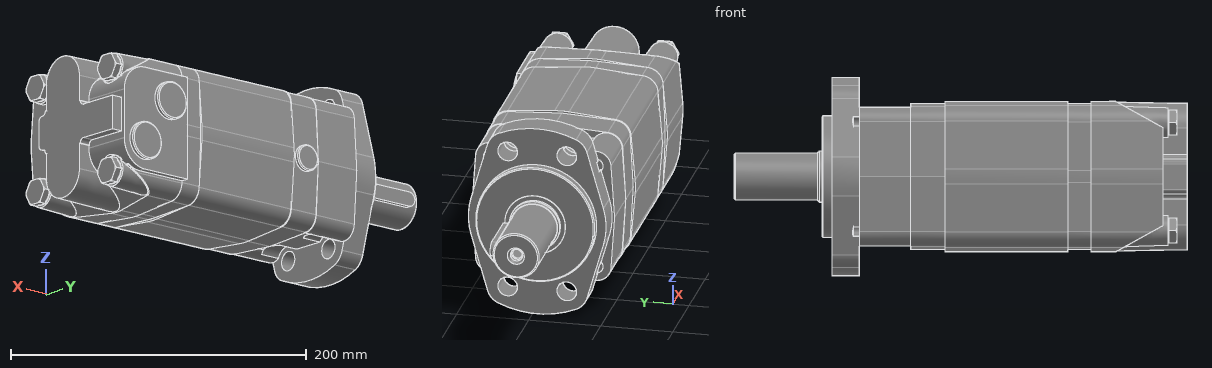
import cadquery as cq
import math


shoulder_x = 56.5
pilot_x = 59.3
flange_x = 66.0
columns_x = 84.7
collar_x = 119.4
gear_x = 142.5
plate_x = 225.8
cover_x = 241.4
cover_back_x = 290.2
bolt_seat_x = 293.5
back_x = 306.6

bolt_offset = 36.5
corner_radius = 11.5
collar_corner_radius = 10.9
column_radius = 10.5
large_half_width = 51.0
small_half_width = 49.5
large_crown_radius = 58.0
plate_crown_radius = 92.0
ridge_radius = 0.0
column_recess_z = 42.5

flange_outer_radius = 67.29
flange_side_radius = 47.8
flange_corner_radius = 13.5
flange_side_angle = math.radians(16)
pilot_diameter = 82.5
pilot_chamfer = 0.8
seal_diameter = 42.0
seal_depth = 0.5
mount_hole_y = 20.5
mount_hole_z = 49.1
mount_hole_diameter = 13.5
spotface_diameter = 21.6
spotface_length = 15.0
spotface_cone_length = 4.0
spotface_tip_radius = 6.0

shaft_diameter = 32.0
shaft_chamfer = 1.0
seal_journal_diameter = 35.0
shoulder_chamfer = 1.2
shaft_inner_x = collar_x
centre_mouth_diameter = 11.8
centre_mouth_depth = 2.0
centre_bore_diameter = 8.38
centre_bore_depth = 5.0
centre_hole_diameter = 6.65
centre_hole_depth = 20.0
centre_tip_length = 2.0
key_width = 10.0
key_length = 45.0
key_height = 8.0
key_start_x = 5.2
key_top_y = 19.0

bolt_diameter = 10.0
tap_hole_diameter = 8.38
tap_hole_depth = 4.0
tap_hole_tip_length = 1.5
hex_across_flats = 16.9
washer_face_diameter = 16.9
washer_face_height = 0.6
hex_height = 5.4
hex_chamfer_length = 0.45

drain_x = 131.0
drain_diameter = 18.0
drain_top_y = 52.4
disc_chamfer = 0.8
port_pad_y = 53.6
port_pad_inner_y = 17.5
port_pad_back_x = 298.5
port_pad_half_height = 35.8
port_pad_corner_radius = 18.7
port_diameter = 26.0
port_top_y = 57.12
port_places = [(257.8, 16.1), (280.4, -16.1)]

roof_start_x = 258.0
roof_angle = math.radians(29)
bolt_boss_diameter = 22.5
bolt_boss_draft = 1.9
spine_half_width = 17.8
spine_half_height = 50.6
spine_start_x = 255.0
spine_draft = 1.0
block_front_y = -24.3
block_back_y = 50.8
block_half_height = 11.8
block_edge_radius = 3.2

bolt_places = [(y, z) for y in (-bolt_offset, bolt_offset) for z in (-bolt_offset, bolt_offset)]
mount_places = [(y, z) for y in (-mount_hole_y, mount_hole_y) for z in (-mount_hole_z, mount_hole_z)]


def plane_at(x):
    """Sketch plane across the shaft: local x is Y, local y is Z, extrusion is toward +X."""
    return cq.Workplane("YZ", origin=(x, 0, 0))


def rods(places, diameter, start_x, end_x):
    return plane_at(start_x).pushPoints(places).circle(diameter / 2).extrude(end_x - start_x)


def turned(points):
    """Solid of revolution about X from (x, radius) points."""
    return cq.Workplane("XY").polyline(points).close().revolve(360, (0, 0, 0), (1, 0, 0))


def rotated(point, angle):
    c, s = math.cos(angle), math.sin(angle)
    return (point[0] * c - point[1] * s, point[0] * s + point[1] * c)


def section(start_x, end_x, half_width, crown_radius, rounding):
    """Body section whose flat sides are tangent to the crown arcs and the corner arcs."""
    crown_centre = half_width - crown_radius
    reach = math.hypot(bolt_offset, bolt_offset - crown_centre)
    bearing = math.atan2(bolt_offset, bolt_offset - crown_centre)
    lean = bearing - math.acos((crown_radius - rounding) / reach)
    crown_end = (crown_centre + crown_radius * math.cos(lean), crown_radius * math.sin(lean))
    corner_start = (bolt_offset + rounding * math.cos(lean), bolt_offset + rounding * math.sin(lean))
    corner_middle = bolt_offset + rounding * math.sqrt(0.5)
    corner_end = (corner_start[1], corner_start[0])
    crown_start = (crown_end[0], -crown_end[1])

    outline = plane_at(start_x).moveTo(*crown_start)
    for quarter in range(4):
        turn = quarter * math.pi / 2
        if crown_radius > 0:
            outline = outline.threePointArc(rotated((half_width, 0), turn), rotated(crown_end, turn))
        outline = outline.lineTo(*rotated(corner_start, turn))
        outline = outline.threePointArc(
            rotated((corner_middle, corner_middle), turn), rotated(corner_end, turn)
        )
        if quarter < 3:
            outline = outline.lineTo(*rotated(crown_start, turn + math.pi / 2))
    return outline.close().extrude(end_x - start_x)


def flange():
    """Oval flange: side arcs, straight flanks, small corner arcs and large end arcs, all tangent."""
    normal = (math.cos(flange_side_angle), math.sin(flange_side_angle))
    inset = flange_side_radius - flange_corner_radius
    corner_distance = flange_outer_radius - flange_corner_radius
    flank = math.sqrt(corner_distance**2 - inset**2)
    centre = (inset * normal[0] - flank * normal[1], inset * normal[1] + flank * normal[0])
    end_angle = math.atan2(centre[1], centre[0])
    middle_angle = (flange_side_angle + end_angle) / 2

    side_end = (flange_side_radius * normal[0], flange_side_radius * normal[1])
    flank_end = (centre[0] + flange_corner_radius * normal[0], centre[1] + flange_corner_radius * normal[1])
    corner_middle = (
        centre[0] + flange_corner_radius * math.cos(middle_angle),
        centre[1] + flange_corner_radius * math.sin(middle_angle),
    )
    corner_end = (flange_outer_radius * math.cos(end_angle), flange_outer_radius * math.sin(end_angle))

    outline = plane_at(flange_x).moveTo(side_end[0], -side_end[1])
    for sign in (1, -1):
        outline = (
            outline.threePointArc((sign * flange_side_radius, 0), (sign * side_end[0], sign * side_end[1]))
            .lineTo(sign * flank_end[0], sign * flank_end[1])
            .threePointArc(
                (sign * corner_middle[0], sign * corner_middle[1]),
                (sign * corner_end[0], sign * corner_end[1]),
            )
            .threePointArc((0, sign * flange_outer_radius), (-sign * corner_end[0], sign * corner_end[1]))
            .threePointArc(
                (-sign * corner_middle[0], sign * corner_middle[1]),
                (-sign * flank_end[0], sign * flank_end[1]),
            )
            .lineTo(-sign * side_end[0], sign * side_end[1])
        )
    return outline.close().extrude(columns_x - flange_x)


def bolt_columns():
    """Front stretch of the housing: a flat-topped core between four round columns."""
    core = section(columns_x, collar_x, small_half_width, ridge_radius, column_radius)
    slab = plane_at(columns_x).rect(2 * small_half_width, 2 * column_recess_z).extrude(collar_x - columns_x)
    columns = rods(bolt_places, 2 * column_radius, columns_x, collar_x)
    return core.intersect(slab).union(columns)


def mount_spotfaces():
    """Clearance behind each mounting hole, ending in a blunt cone."""
    end_x = columns_x + spotface_length
    radius = spotface_diameter / 2
    cutter = turned([
        (columns_x, 0),
        (columns_x, radius),
        (end_x, radius),
        (end_x + spotface_cone_length, spotface_tip_radius),
        (end_x + spotface_cone_length, 0),
    ])
    cutters = cq.Workplane("XY")
    for y, z in mount_places:
        cutters = cutters.add(cutter.translate((0, y, z)))
    return cutters.combine()


def make_shaft():
    shaft = rods([(0, 0)], shaft_diameter, 0, shoulder_x).faces("<X").chamfer(shaft_chamfer)
    journal = rods([(0, 0)], seal_journal_diameter, shoulder_x, shaft_inner_x)
    shaft = shaft.union(journal.faces("<X").chamfer(shoulder_chamfer))
    bore_radius = centre_bore_diameter / 2
    hole_radius = centre_hole_diameter / 2
    centre_hole = turned([
        (0, 0),
        (0, centre_mouth_diameter / 2),
        (centre_mouth_depth, bore_radius),
        (centre_bore_depth, bore_radius),
        (centre_bore_depth, hole_radius),
        (centre_hole_depth, hole_radius),
        (centre_hole_depth + centre_tip_length, 0),
    ])
    return shaft.cut(centre_hole).cut(make_key())


def make_key():
    bottom_y = key_top_y - key_height
    middle_x = key_start_x + key_length / 2
    return (
        cq.Workplane("XZ", origin=(middle_x, bottom_y, 0))
        .slot2D(key_length, key_width)
        .extrude(-key_height)
    )


def make_bolt(y, z):
    hex_x = bolt_seat_x + washer_face_height
    shank = rods([(y, z)], bolt_diameter, columns_x, bolt_seat_x)
    washer_face = rods([(y, z)], washer_face_diameter, bolt_seat_x, hex_x)
    across_corners = hex_across_flats / math.cos(math.pi / 6)
    head = plane_at(hex_x).center(y, z).polygon(6, across_corners).extrude(hex_height)
    chamfer_depth = hex_chamfer_length / math.tan(math.pi / 6)
    rim = rods([(y, z)], across_corners, hex_x, hex_x + hex_height)
    head = head.intersect(rim.faces(">X").chamfer(hex_chamfer_length, chamfer_depth))
    return shank.union(washer_face).union(head)


def tap_holes():
    """Blind holes with conical tips that run forward from the bolt ends into the flange."""
    radius = tap_hole_diameter / 2
    full_end_x = columns_x - tap_hole_depth
    cutter = turned([
        (columns_x, 0),
        (columns_x, radius),
        (full_end_x, radius),
        (full_end_x - tap_hole_tip_length, 0),
    ])
    cutters = cq.Workplane("XY")
    for y, z in bolt_places:
        cutters = cutters.add(cutter.translate((0, y, z)))
    return cutters.combine()


def make_housing():
    pilot = rods([(0, 0)], pilot_diameter, pilot_x, flange_x).faces("<X").chamfer(pilot_chamfer)
    collar = section(collar_x, gear_x, small_half_width, ridge_radius, collar_corner_radius)
    drain = (
        cq.Workplane("XZ", origin=(drain_x, bolt_offset, 0))
        .circle(drain_diameter / 2)
        .extrude(-(drain_top_y - bolt_offset))
        .faces(">Y")
        .chamfer(disc_chamfer)
    )
    housing = bolt_columns().cut(mount_spotfaces())
    housing = housing.union(flange()).union(pilot).union(collar).union(drain)
    housing = housing.cut(rods(mount_places, mount_hole_diameter, flange_x, columns_x))
    housing = housing.cut(rods([(0, 0)], seal_diameter, pilot_x, pilot_x + seal_depth))
    housing = housing.cut(rods([(0, 0)], seal_journal_diameter, pilot_x, shaft_inner_x))
    return housing.cut(tap_holes()).cut(rods(bolt_places, bolt_diameter, columns_x, gear_x))


def make_gear_set():
    body = section(gear_x, plate_x, large_half_width, large_crown_radius, corner_radius)
    return body.cut(rods(bolt_places, bolt_diameter, gear_x, plate_x))


def make_plate():
    body = section(plate_x, cover_x, small_half_width, plate_crown_radius, corner_radius)
    return body.cut(rods(bolt_places, bolt_diameter, plate_x, cover_x))


def roof_cutter():
    """Wedge above the slope that falls from the crown to the back wall."""
    drop = (cover_back_x - roof_start_x) * math.tan(roof_angle)
    return (
        cq.Workplane("XZ")
        .moveTo(roof_start_x, large_half_width)
        .lineTo(cover_back_x, large_half_width - drop)
        .lineTo(cover_back_x, large_half_width)
        .close()
        .extrude(large_half_width, both=True)
    )


def port_pad():
    pad = (
        cq.Workplane("XZ", origin=(0, port_pad_inner_y, 0))
        .moveTo((cover_x + port_pad_back_x) / 2, 0)
        .rect(port_pad_back_x - cover_x, 2 * port_pad_half_height)
        .extrude(-(port_pad_y - port_pad_inner_y))
        .edges("|Y and >X")
        .fillet(port_pad_corner_radius)
    )
    ports = (
        cq.Workplane("XZ", origin=(0, port_pad_y, 0))
        .pushPoints(port_places)
        .circle(port_diameter / 2)
        .extrude(-(port_top_y - port_pad_y))
        .faces(">Y")
        .chamfer(disc_chamfer)
    )
    return pad.union(ports)


def cover_block():
    """Crosswise block, rounded at the front and blended into both sides of the spine."""
    r = block_edge_radius
    top = block_half_height
    blend_top = top + r
    front_blend_y = -spine_half_width - r
    back_blend_y = spine_half_width + r
    blend_rise = r * (1 - math.sqrt(0.5))
    blend_run = r * math.sqrt(0.5)
    round_middle = (block_front_y + blend_rise, top - blend_rise)
    upper_half = (
        plane_at(cover_back_x)
        .moveTo(block_front_y, 0)
        .lineTo(block_front_y, top - r)
        .threePointArc(round_middle, (block_front_y + r, top))
        .lineTo(front_blend_y, top)
        .threePointArc((front_blend_y + blend_run, top + blend_rise), (-spine_half_width, blend_top))
        .lineTo(spine_half_width, blend_top)
        .threePointArc((back_blend_y - blend_run, top + blend_rise), (back_blend_y, top))
        .lineTo(block_back_y, top)
        .lineTo(block_back_y, 0)
        .close()
        .extrude(back_x - cover_back_x)
    )
    return upper_half.union(upper_half.mirror("XY"))


def make_cover():
    roof = roof_cutter()
    cover = section(cover_x, cover_back_x, large_half_width, large_crown_radius, corner_radius)
    cover = cover.cut(roof).cut(roof.mirror("XY"))
    spine = (
        plane_at(spine_start_x)
        .slot2D(2 * spine_half_height, 2 * spine_half_width, 90)
        .extrude(back_x - spine_start_x, taper=spine_draft)
    )
    bosses = (
        plane_at(roof_start_x)
        .pushPoints(bolt_places)
        .circle(bolt_boss_diameter / 2)
        .extrude(bolt_seat_x - roof_start_x, taper=bolt_boss_draft)
    )
    head_room = rods(bolt_places, bolt_boss_diameter, bolt_seat_x, back_x)
    cover = cover.union(port_pad()).union(spine).union(cover_block()).union(bosses)
    return cover.cut(head_room).cut(rods(bolt_places, bolt_diameter, cover_x, bolt_seat_x))


shaft = make_shaft()
key = make_key()
housing = make_housing()
gear_set = make_gear_set()
plate = make_plate()
cover = make_cover()
bolts = [make_bolt(y, z).val() for y, z in bolt_places]

result = cq.Compound.makeCompound(
    [shaft.val(), key.val(), housing.val(), gear_set.val(), plate.val(), cover.val(), *bolts]
)